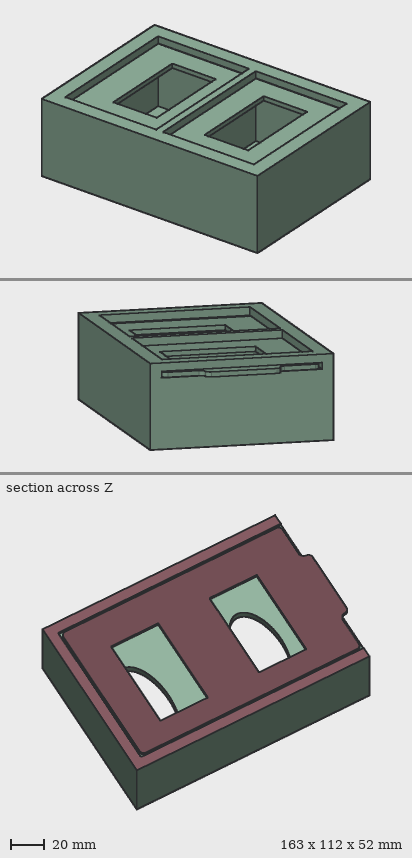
import cadquery as cq

WALL = 10.0
BAY_LENGTH = 66.5
BAY_WIDTH = 92.0
DIVIDER = 5.0
FLOOR = 5.0
HOUSING_HEIGHT = 52.0
HOUSING_LENGTH = 2 * WALL + 2 * BAY_LENGTH + DIVIDER
HOUSING_WIDTH = 2 * WALL + BAY_WIDTH
MID_Y = HOUSING_WIDTH / 2
BAY_STARTS = (WALL, WALL + BAY_LENGTH + DIVIDER)

FLOOR_HOLES = (
    (41.5, 55.1, 14.0, 27.8),
    (118.5, 56.0, 14.3, 29.7),
)

SLOT_WALL = 7.0
SLOT_HEIGHT = 4.0
SLOT_COVER = 5.0
SLOT_BOTTOM = HOUSING_HEIGHT - SLOT_COVER - SLOT_HEIGHT
SLOT_LENGTH = HOUSING_LENGTH - SLOT_WALL
SLOT_WIDTH = HOUSING_WIDTH - 2 * SLOT_WALL

CLEARANCE = 1.0
SLIDE_THICKNESS = SLOT_HEIGHT - CLEARANCE
SLIDE_LENGTH = SLOT_LENGTH - 2 * CLEARANCE
SLIDE_WIDTH = SLOT_WIDTH - 2 * CLEARANCE
SLIDE_RADIUS = 3.0
TAB_WIDTH = 46.0
TAB_LENGTH = 2 * SLIDE_RADIUS

WINDOW_LENGTH = 31.8
WINDOW_WIDTH = 58.5
WINDOW_STARTS = (30.0, 96.85)
WINDOW_Y = 30.5


def block(x, y, z, length, width, height):
    """Box given by its lowest corner and its sizes along X, Y and Z."""
    return cq.Workplane("XY").box(length, width, height, centered=False).translate((x, y, z))


def make_housing():
    """Block with two open bays, a slide slot and a hole in each bay floor."""
    body = block(0, 0, 0, HOUSING_LENGTH, HOUSING_WIDTH, HOUSING_HEIGHT)
    for bay_x in BAY_STARTS:
        body = body.cut(block(bay_x, WALL, FLOOR, BAY_LENGTH, BAY_WIDTH, HOUSING_HEIGHT - FLOOR))
    body = body.cut(block(0, SLOT_WALL, SLOT_BOTTOM, SLOT_LENGTH, SLOT_WIDTH, SLOT_HEIGHT))
    for x, y, x_radius, y_radius in FLOOR_HOLES:
        hole = cq.Workplane("XY").center(x, y).ellipse(x_radius, y_radius).extrude(FLOOR)
        body = body.cut(hole)
    return body


def make_slide():
    """Flat plate with two windows and a rounded pull tab on its -X edge."""
    plate_y = MID_Y - SLIDE_WIDTH / 2
    tab_y = MID_Y - TAB_WIDTH / 2
    plate = block(CLEARANCE, plate_y, SLOT_BOTTOM, SLIDE_LENGTH, SLIDE_WIDTH, SLIDE_THICKNESS)
    plate = plate.edges("|Z").fillet(SLIDE_RADIUS)

    tab_x = CLEARANCE - TAB_LENGTH
    tab = block(tab_x, tab_y, SLOT_BOTTOM, TAB_LENGTH, TAB_WIDTH, SLIDE_THICKNESS)
    tab = tab.edges("|Z and <X").fillet(SLIDE_RADIUS)
    slide = plate.union(tab)

    for side in (-1, 1):
        tab_side = MID_Y + side * TAB_WIDTH / 2
        web = (
            cq.Workplane("XY", origin=(0, 0, SLOT_BOTTOM))
            .moveTo(CLEARANCE, tab_side)
            .lineTo(CLEARANCE, tab_side + side * SLIDE_RADIUS)
            .radiusArc((CLEARANCE - SLIDE_RADIUS, tab_side), side * SLIDE_RADIUS)
            .close()
            .extrude(SLIDE_THICKNESS)
        )
        slide = slide.union(web)

    for window_x in WINDOW_STARTS:
        window = block(window_x, WINDOW_Y, SLOT_BOTTOM, WINDOW_LENGTH, WINDOW_WIDTH, SLIDE_THICKNESS)
        slide = slide.cut(window)
    return slide


housing = make_housing()
slide = make_slide()
result = cq.Compound.makeCompound([housing.solids().val(), slide.solids().val()])